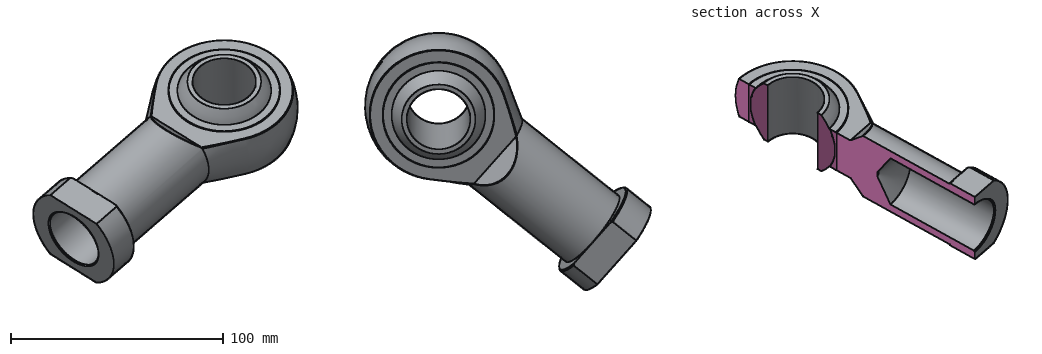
import cadquery as cq
import math


eye_radius = 34.7
eye_thickness = 24.9
flank_angle = 30.0
eye_edge_chamfer = 0.22
shank_radius = 20.0
shank_end = -110.0
collar_length = 15.2
collar_radius = 24.97
collar_across_flats = 41.0
collar_chamfer = 0.6

bore_radius = 14.98
bore_depth = 51.0
bore_tip_radius = 1.2
bore_tip_angle = 60.0
bore_mouth_chamfer = 0.6

race_radius = 26.42
race_chamfer = 0.3
ball_radius = 25.4
ball_width = 37.0
ball_bore_radius = 14.98

flank_sin = math.sin(math.radians(flank_angle))
flank_cos = math.cos(math.radians(flank_angle))
flank_tan = flank_sin / flank_cos
tangent_y = -eye_radius * flank_sin
tangent_radius = eye_radius * flank_cos
neck_y = tangent_y - (tangent_radius - shank_radius) / flank_tan
eye_half = eye_thickness / 2
collar_y = shank_end + collar_length


def revolve_about_y(profile):
    return profile.close().revolve(360, (0, 0, 0), (0, 1, 0))


def flank_rim_point(y, outset):
    """Point of the flank's edge on the flat eye face at the given Y, moved outward by the outset."""
    cone_radius = tangent_radius + (y - tangent_y) * flank_tan
    edge_x = math.sqrt(cone_radius ** 2 - eye_half ** 2)
    normal_y = -cone_radius * flank_tan
    step = outset / math.hypot(edge_x, normal_y)
    return (edge_x + step * edge_x, y + step * normal_y)


def eye_outline(z, outset):
    """Closed outline parallel to the rim of the flat eye face, running slightly past the neck."""
    end_y = neck_y - eye_edge_chamfer
    top = (0, math.sqrt(eye_radius ** 2 - eye_half ** 2) + outset)
    tangent_x, tangent_point_y = flank_rim_point(tangent_y, outset)
    middle_x, middle_y = flank_rim_point((tangent_y + end_y) / 2, outset)
    neck_x, neck_point_y = flank_rim_point(end_y, outset)
    outline = (
        cq.Workplane("XY")
        .workplane(offset=z)
        .moveTo(-neck_x, neck_point_y)
        .threePointArc((-middle_x, middle_y), (-tangent_x, tangent_point_y))
        .threePointArc(top, (tangent_x, tangent_point_y))
        .threePointArc((middle_x, middle_y), (neck_x, neck_point_y))
        .close()
    )
    return outline.val()


def make_eye_envelope():
    """Two flat eye faces whose outlines flare outward at 45 degrees down to the middle plane."""
    face_outline = eye_outline(eye_half, -eye_edge_chamfer)
    middle_outline = eye_outline(0, eye_half - eye_edge_chamfer)
    upper_half = cq.Workplane(cq.Solid.makeLoft([middle_outline, face_outline], True))
    return upper_half.union(upper_half.mirror("XY"))


def make_eye():
    """Spherical eye and tangent cone down to the neck, cut flat with chamfered rims."""
    arc_middle = eye_radius * math.sqrt(0.5)
    turned = revolve_about_y(
        cq.Workplane("XY")
        .moveTo(0, eye_radius)
        .threePointArc((arc_middle, arc_middle), (tangent_radius, tangent_y))
        .lineTo(shank_radius, neck_y)
        .lineTo(0, neck_y)
    )
    return turned.intersect(make_eye_envelope())


def make_shank():
    """Round shank with a 45 degree shoulder above and below the neck, its rims chamfered."""
    turned = revolve_about_y(
        cq.Workplane("XY")
        .moveTo(0, neck_y)
        .lineTo(shank_radius, neck_y)
        .lineTo(shank_radius, collar_y)
        .lineTo(0, collar_y)
    )
    shoulder_depth = shank_radius - eye_half
    outline = [
        (neck_y, eye_half),
        (neck_y - shoulder_depth, shank_radius),
        (collar_y, shank_radius),
        (collar_y, -shank_radius),
        (neck_y - shoulder_depth, -shank_radius),
        (neck_y, -eye_half),
    ]
    side_envelope = cq.Workplane("YZ").polyline(outline).close().extrude(shank_radius, both=True)
    shank = turned.intersect(side_envelope)
    shoulders = shank.faces("%PLANE and (not |Y)")
    return shoulders.edges("not |X").chamfer(eye_edge_chamfer)


def make_collar():
    """Round collar with a chamfered back edge and two wrench flats."""
    turned = revolve_about_y(
        cq.Workplane("XY")
        .moveTo(0, collar_y)
        .lineTo(collar_radius - collar_chamfer, collar_y)
        .lineTo(collar_radius, collar_y - collar_chamfer)
        .lineTo(collar_radius, shank_end)
        .lineTo(0, shank_end)
    )
    flats = cq.Workplane("XY").box(2 * collar_radius, 2 * collar_length, collar_across_flats)
    return turned.intersect(flats.translate((0, shank_end, 0)))


def make_shank_bore():
    """Blind bore with a chamfered mouth and a conical bottom."""
    bottom_y = shank_end + bore_depth
    tip_y = bottom_y + (bore_radius - bore_tip_radius) / math.tan(math.radians(bore_tip_angle))
    return revolve_about_y(
        cq.Workplane("XY")
        .moveTo(0, shank_end)
        .lineTo(bore_radius + bore_mouth_chamfer, shank_end)
        .lineTo(bore_radius, shank_end + bore_mouth_chamfer)
        .lineTo(bore_radius, bottom_y)
        .lineTo(bore_tip_radius, tip_y)
        .lineTo(0, tip_y)
    )


def make_disc(radius, thickness):
    return cq.Workplane("XY").circle(radius).extrude(thickness / 2, both=True)


def make_housing():
    housing = make_eye().union(make_shank()).union(make_collar())
    return housing.cut(make_disc(race_radius, eye_thickness)).cut(make_shank_bore())


def make_race():
    """Outer bearing ring with a spherical seat for the ball."""
    ring = make_disc(race_radius, eye_thickness).edges().chamfer(race_chamfer)
    return ring.cut(cq.Workplane("XY").sphere(ball_radius))


def make_ball():
    """Truncated sphere with a through bore."""
    ball = cq.Workplane("XY").sphere(ball_radius).intersect(make_disc(ball_radius, ball_width))
    return ball.cut(make_disc(ball_bore_radius, ball_width))


housing = make_housing()
race = make_race()
ball = make_ball()

result = cq.Compound.makeCompound([body.solids().val() for body in (housing, race, ball)])